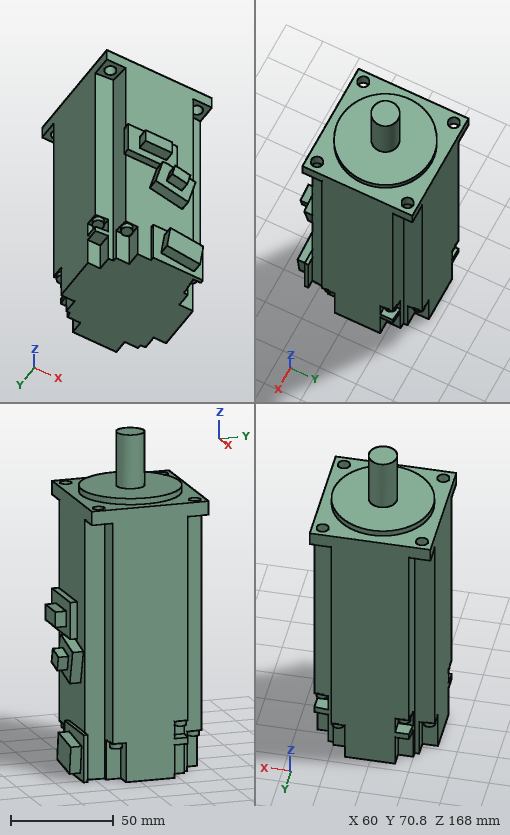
import cadquery as cq


side = 60.0
half = side / 2
total_height = 168.0
pilot_top = 141.0
flange_top = 138.0
flange_bottom = 131.0
pilot_diameter = 50.0
shaft_diameter = 14.0

bolt_offset = 24.7
bolt_hole_diameter = 5.9

notch_mouth = 19.3
notch_root = 20.2

pocket_inner_edge = 12.5
low_pocket_top = 19.8
low_pocket_depth = 7.7
high_pocket_top = 28.4
high_pocket_depth = 7.0
shelf_top = low_pocket_top
shelf_bottom = 16.6

screw_diameter = 5.9
screw_height = 2.7
screw_inset = 3.4
screw_offset = 16.5

power_plate = (28.0, 18.5)
power_center = (-6.0, 77.5)
power_plate_reach = 3.5
power_plug = (15.3, 7.7)
power_plug_center = (-5.9, 77.0)
power_plug_reach = 9.0

brake_plate = (19.2, 17.3)
brake_plate_reach = 5.5
brake_plug = (8.9, 7.4)
brake_plug_reach = 10.8
brake_center = (5.9, 58.1)
brake_tilt = 14.2

encoder_plate = (28.4, 23.9)
encoder_center = (9.4, encoder_plate[1] / 2)
encoder_plate_reach = 2.0
encoder_plug = (19.0, 14.1)
encoder_plug_center = (10.0, 11.8)
encoder_plug_reach = 7.5
encoder_tilt = 7.8


def box(x_range, y_range, z_range):
    """Axis-aligned block given by its limits along each axis."""
    (x0, x1), (y0, y1), (z0, z1) = x_range, y_range, z_range
    return cq.Workplane("XY").box(x1 - x0, y1 - y0, z1 - z0, centered=False).translate((x0, y0, z0))


def turned(shape, quarter):
    """Turn a shape about the shaft axis by a number of quarter turns."""
    return shape.rotate((0, 0, 0), (0, 0, 1), 90 * quarter)


def corner_notch():
    """Leaning-walled notch at the (-X, -Y) corner, as high as the housing."""
    points = [(-half, -notch_mouth), (-notch_root, -notch_root), (-notch_mouth, -half), (-half, -half)]
    return cq.Workplane("XY").polyline(points).close().extrude(flange_bottom)


def screw_head(x, y, ceiling):
    """Round screw head hanging from a pocket ceiling."""
    bottom = ceiling - screw_height
    return cq.Workplane("XY", origin=(x, y, bottom)).circle(screw_diameter / 2).extrude(screw_height)


def low_pocket():
    """Pocket in the -Y face beside the (-X, -Y) corner, open to the bottom."""
    return box(
        (-notch_root, -pocket_inner_edge), (-half, -half + low_pocket_depth), (0, low_pocket_top)
    )


def high_pocket():
    """Pocket in the -X face beside the (-X, -Y) corner, divided by a shelf."""
    x_range = (-half, -half + high_pocket_depth)
    y_range = (-notch_root, -pocket_inner_edge)
    upper = box(x_range, y_range, (shelf_top, high_pocket_top))
    lower = box(x_range, y_range, (0, shelf_bottom))
    return upper.union(lower)


def connector_block(size, center, reach, tilt=0):
    """Rectangular block standing out from the -Y face, tilted clockwise."""
    block = cq.Workplane("XZ", origin=(0, -half, 0)).rect(*size).extrude(reach)
    return block.rotate((0, 0, 0), (0, 1, 0), tilt).translate((center[0], 0, center[1]))


body = box((-half, half), (-half, half), (0, flange_top))
body = body.union(cq.Workplane("XY").circle(pilot_diameter / 2).extrude(pilot_top))
body = body.union(cq.Workplane("XY").circle(shaft_diameter / 2).extrude(total_height))

high_pocket_quarters = (0, 2, 3)
for quarter in range(4):
    body = body.cut(turned(corner_notch(), quarter))
for quarter in range(4):
    body = body.cut(turned(low_pocket(), quarter))
    head = screw_head(-screw_offset, -half + screw_inset, low_pocket_top)
    body = body.union(turned(head, quarter))
for quarter in high_pocket_quarters:
    body = body.cut(turned(high_pocket(), quarter))
    head = screw_head(-half + screw_inset, -screw_offset, high_pocket_top)
    body = body.union(turned(head, quarter))

bolt_holes = (
    cq.Workplane("XY", origin=(0, 0, flange_bottom))
    .rect(2 * bolt_offset, 2 * bolt_offset, forConstruction=True)
    .vertices()
    .circle(bolt_hole_diameter / 2)
    .extrude(flange_top - flange_bottom)
)
body = body.cut(bolt_holes)

power_zone = connector_block(power_plate, power_center, brake_plug_reach)
brake = connector_block(brake_plate, brake_center, brake_plate_reach, brake_tilt).cut(power_zone)
connectors = [
    connector_block(power_plate, power_center, power_plate_reach),
    connector_block(power_plug, power_plug_center, power_plug_reach),
    brake,
    connector_block(brake_plug, brake_center, brake_plug_reach, brake_tilt),
    connector_block(encoder_plate, encoder_center, encoder_plate_reach),
    connector_block(encoder_plug, encoder_plug_center, encoder_plug_reach, encoder_tilt),
]
for connector in connectors:
    body = body.union(connector)

result = body